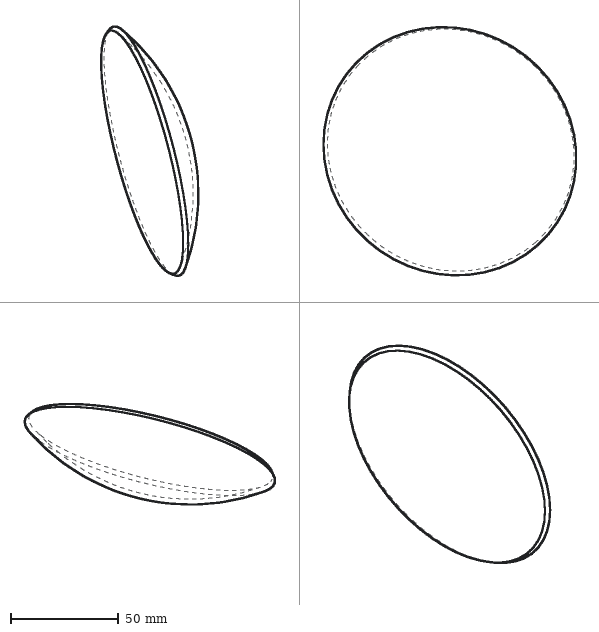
import cadquery as cq
import math

rim_diameter = 120.0
outer_sphere_radius = 100.1
wall_thickness = 2.5

rim_radius = rim_diameter / 2
inner_sphere_radius = outer_sphere_radius - wall_thickness
half_angle = math.asin(rim_radius / outer_sphere_radius)

sphere_centre_y = -inner_sphere_radius * math.cos(half_angle)


def sphere_point(radius, angle):
    """Point at the given angle from the Y axis, on a sphere about the shared centre."""
    return (radius * math.sin(angle), sphere_centre_y + radius * math.cos(angle))


def make_dish():
    """Revolve half of the wall section about the Y axis."""
    half_section = (
        cq.Workplane("XY")
        .moveTo(*sphere_point(inner_sphere_radius, 0))
        .threePointArc(
            sphere_point(inner_sphere_radius, half_angle / 2),
            sphere_point(inner_sphere_radius, half_angle),
        )
        .lineTo(*sphere_point(outer_sphere_radius, half_angle))
        .threePointArc(
            sphere_point(outer_sphere_radius, half_angle / 2),
            sphere_point(outer_sphere_radius, 0),
        )
        .close()
    )
    return half_section.revolve(360, (0, 0, 0), (0, 1, 0))


result = make_dish()